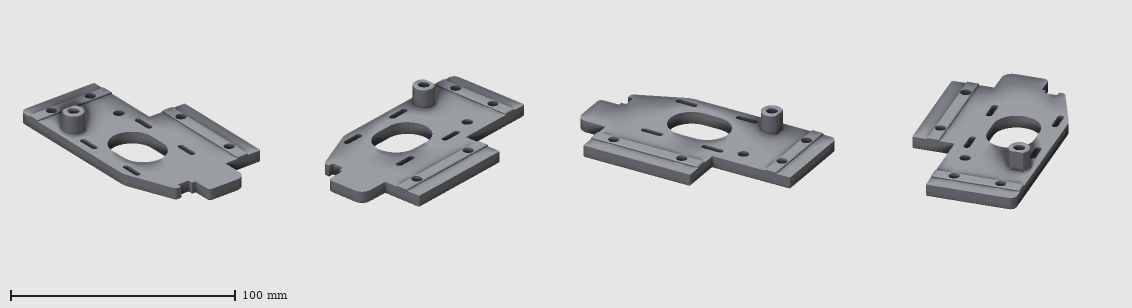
import cadquery as cq

plate_length = 110.0
plate_width = 42.0
plate_thickness = 5.9
total_height = 16.0
edge_chamfer = 0.5

tongue_left = 40.0
tongue_length = 55.0
tongue_right = tongue_left + tongue_length
total_width = 62.0

step_x = 100.0
step_y = 21.2
notch_depth = 2.5
notch_bottom = 13.2
notch_top = 19.2
slant_start_x = 74.8
slant_end_y = 10.2

small_corner = 0.5
front_left_corner = 3.1
slant_start_corner = 10.0
slant_end_corner = 2.0
step_corner = 2.2
back_right_corner = 5.0

rail_width = 5.8
rail_height = 1.0
rail_chamfer = 0.4
side_rail_left = 7.0
side_hole_x = 10.0
side_hole_ys = (10.0, 32.0)
back_rail_y = 52.0
back_hole_xs = (50.0, 85.0)
rail_hole_diameter = 5.1

motor_x = 59.0
motor_y = 20.6
motor_travel = 8.0
opening_diameter = 22.0
slot_width = 3.0
slot_pitch = 31.0

boss_x = 29.0
boss_y = 7.7
boss_diameter = 10.0
boss_flat_offset = 4.0
boss_chamfer = 0.4
boss_flare = 0.4
bore_diameter = 5.2
bore_chamfer = 0.3
plain_hole_y = 33.3


def make_plate():
    """Extrude the outline, round its corners and bevel its lower rim."""
    corners = [
        ((0, 0), front_left_corner),
        ((slant_start_x, 0), slant_start_corner),
        ((step_x, slant_end_y), slant_end_corner),
        ((step_x, notch_bottom), None),
        ((step_x - notch_depth, notch_bottom), None),
        ((step_x - notch_depth, notch_top), None),
        ((step_x, notch_top), None),
        ((step_x, step_y), None),
        ((plate_length, step_y), step_corner),
        ((plate_length, plate_width), back_right_corner),
        ((tongue_right, plate_width), None),
        ((tongue_right, total_width), small_corner),
        ((tongue_left, total_width), small_corner),
        ((tongue_left, plate_width), None),
        ((0, plate_width), small_corner),
    ]
    outline = [point for point, _ in corners]
    plate = cq.Workplane("XY").polyline(outline).close().extrude(plate_thickness)
    for (x, y), radius in corners:
        if radius:
            corner_edge = cq.selectors.NearestToPointSelector((x, y, plate_thickness / 2))
            plate = plate.edges("|Z").edges(corner_edge).fillet(radius)
    return plate.faces("<Z").chamfer(edge_chamfer)


def make_rail(x_center, y_center, x_size, y_size):
    """Low rail on the plate with a beveled top."""
    return (
        cq.Workplane("XY", origin=(x_center, y_center, plate_thickness))
        .rect(x_size, y_size)
        .extrude(rail_height)
        .faces(">Z")
        .chamfer(rail_chamfer)
    )


def make_boss():
    """Round post with a flat on its left side, beveled at the top and flared at the foot."""
    post_height = total_height - plate_thickness
    radius = boss_diameter / 2
    base = cq.Workplane("XY", origin=(boss_x, boss_y, plate_thickness))
    keep_size = 2 * boss_diameter
    keep = base.center(keep_size / 2 - boss_flat_offset, 0).rect(keep_size, keep_size).extrude(post_height)
    post = base.circle(radius).extrude(post_height).intersect(keep).faces(">Z").chamfer(boss_chamfer)
    foot = base.circle(radius + boss_flare).workplane(offset=boss_flare).circle(radius).loft()
    return post.union(foot.intersect(keep))


def through_holes(points, diameter):
    """Round cutters through the whole height."""
    return cq.Workplane("XY").pushPoints(points).circle(diameter / 2).extrude(total_height)


def through_slots(points, width):
    """Slots along X, long enough for the travel of the motor."""
    return cq.Workplane("XY").pushPoints(points).slot2D(width + motor_travel, width).extrude(total_height)


side_rail = make_rail(side_rail_left + rail_width / 2, plate_width / 2, rail_width, plate_width)
back_rail = make_rail(tongue_left + tongue_length / 2, back_rail_y, tongue_length, rail_width)

rail_holes = [(side_hole_x, y) for y in side_hole_ys] + [(x, back_rail_y) for x in back_hole_xs]
slot_centers = [
    (motor_x + x_side * slot_pitch / 2, motor_y + y_side * slot_pitch / 2)
    for x_side in (-1, 1)
    for y_side in (-1, 1)
]
bore_mouth = (
    cq.Workplane("XY", origin=(boss_x, boss_y, total_height))
    .circle(bore_diameter / 2 + bore_chamfer)
    .workplane(offset=-bore_chamfer)
    .circle(bore_diameter / 2)
    .loft()
)

result = (
    make_plate()
    .union(side_rail)
    .union(back_rail)
    .union(make_boss())
    .cut(through_holes(rail_holes, rail_hole_diameter))
    .cut(through_holes([(boss_x, boss_y), (boss_x, plain_hole_y)], bore_diameter))
    .cut(bore_mouth)
    .cut(through_slots([(motor_x, motor_y)], opening_diameter))
    .cut(through_slots(slot_centers, slot_width))
)